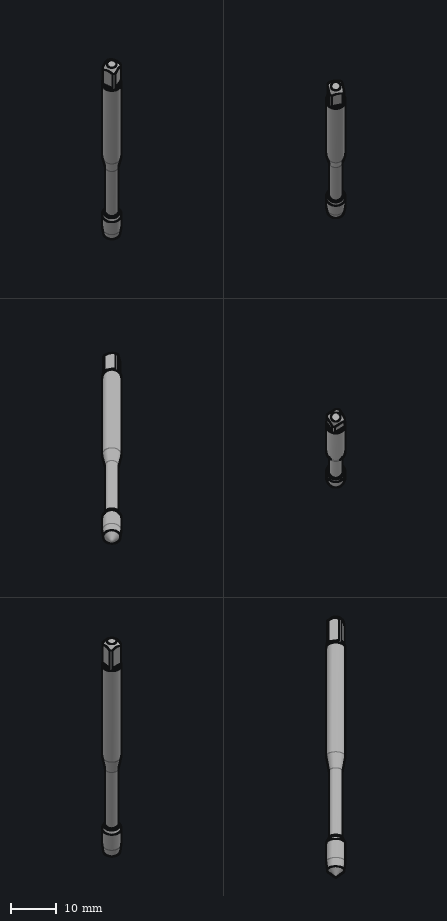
import cadquery as cq

TOTAL_LENGTH = 64.7

TIP_DIAMETER = 3.8
TIP_HEIGHT = 1.9
HEAD_DIAMETER = 4.3
HEAD_BOTTOM_Z = 3.95
HEAD_TOP_Z = 8.6
HEAD_END_DIAMETER = 3.4
HEAD_END_Z = 9.5

NECK_DIAMETER = 3.05
NECK_BOTTOM_Z = 9.95
NECK_TOP_Z = 26.65
SHANK_DIAMETER = 4.3
SHANK_BOTTOM_Z = 30.3

DRIVE_DIAMETER = 4.1
DRIVE_LENGTH = 7.0
SQUARE_WIDTH = 3.3
SQUARE_LENGTH = 6.35
TOP_FACE_DIAMETER = 2.1
FLAT_COUNT = 4

SHANK_RADIUS = SHANK_DIAMETER / 2
DRIVE_RADIUS = DRIVE_DIAMETER / 2
FLAT_DISTANCE = SQUARE_WIDTH / 2
SHANK_CHAMFER = SHANK_RADIUS - DRIVE_RADIUS
TOP_CHAMFER = DRIVE_RADIUS - TOP_FACE_DIAMETER / 2
DRIVE_BOTTOM_Z = TOTAL_LENGTH - DRIVE_LENGTH
FLAT_BOTTOM_Z = TOTAL_LENGTH - SQUARE_LENGTH


def revolve_profile(points):
    """Turn a closed radius-height outline around Z."""
    return cq.Workplane("XZ").polyline(points).close().revolve(360, (0, 0, 0), (0, 1, 0))


def make_head():
    """Threaded head: pointed tip, tapered lead, cylinder and tapered top."""
    return revolve_profile([
        (0, 0),
        (TIP_DIAMETER / 2, TIP_HEIGHT),
        (HEAD_DIAMETER / 2, HEAD_BOTTOM_Z),
        (HEAD_DIAMETER / 2, HEAD_TOP_Z),
        (HEAD_END_DIAMETER / 2, HEAD_END_Z),
        (0, HEAD_END_Z),
    ])


def make_flat_cutter():
    """Block that cuts the +X flat, with a 45 degree run-out at its lower end."""
    depth = SHANK_DIAMETER
    outer = FLAT_DISTANCE + depth
    return (
        cq.Workplane("XZ")
        .polyline([
            (FLAT_DISTANCE, FLAT_BOTTOM_Z),
            (outer, FLAT_BOTTOM_Z - depth),
            (outer, TOTAL_LENGTH),
            (FLAT_DISTANCE, TOTAL_LENGTH),
        ])
        .close()
        .extrude(SHANK_DIAMETER, both=True)
    )


def make_shank():
    """Neck and shank turned in one piece, ending in a chamfered square drive."""
    shank = revolve_profile([
        (0, HEAD_END_Z),
        (HEAD_END_DIAMETER / 2, HEAD_END_Z),
        (NECK_DIAMETER / 2, NECK_BOTTOM_Z),
        (NECK_DIAMETER / 2, NECK_TOP_Z),
        (SHANK_RADIUS, SHANK_BOTTOM_Z),
        (SHANK_RADIUS, DRIVE_BOTTOM_Z - SHANK_CHAMFER),
        (DRIVE_RADIUS, DRIVE_BOTTOM_Z),
        (DRIVE_RADIUS, TOTAL_LENGTH - TOP_CHAMFER),
        (TOP_FACE_DIAMETER / 2, TOTAL_LENGTH),
        (0, TOTAL_LENGTH),
    ])
    flat_cutter = make_flat_cutter()
    for index in range(FLAT_COUNT):
        angle = index * 360 / FLAT_COUNT
        shank = shank.cut(flat_cutter.rotate((0, 0, 0), (0, 0, 1), angle))
    return shank


head = make_head()
shank = make_shank()

result = cq.Compound.makeCompound([head.val(), shank.val()])